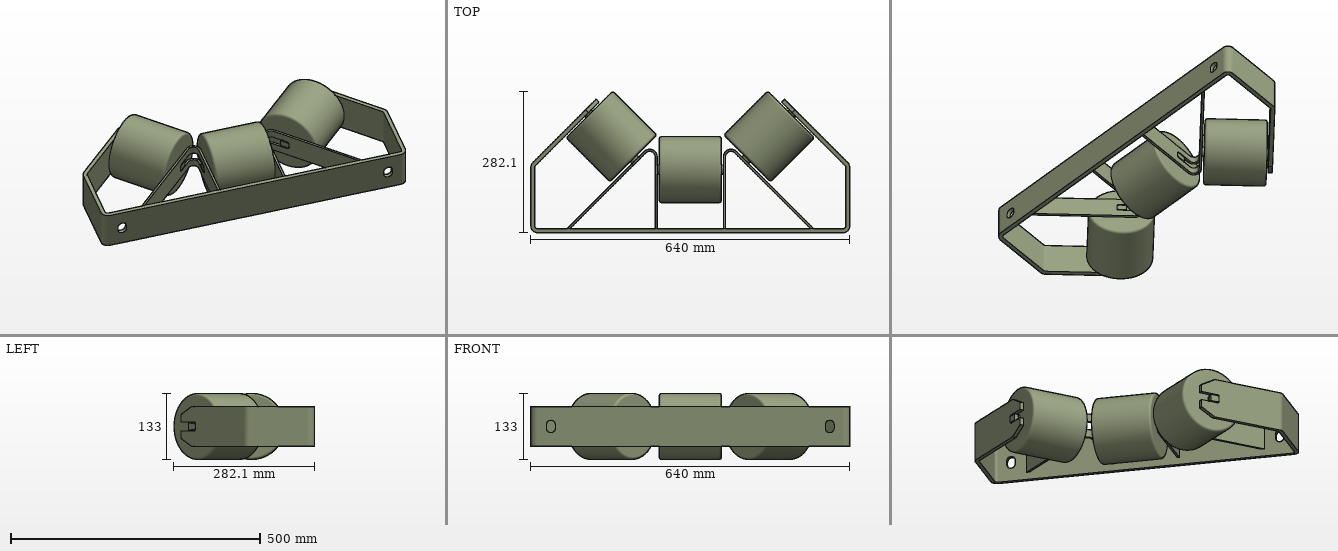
import math

import cadquery as cq

FRAME_LENGTH = 640.0
FRAME_HEIGHT = 80.0
FRAME_THICKNESS = 8.0
FRAME_BEND_RADIUS = 14.0
ARM_BEND_Y = 137.0
ARM_TIP_Y = 268.0
ARM_TIP_CHAMFER_ALONG = 30.0
ARM_TIP_CHAMFER_HEIGHT = 16.0

MOUNT_HOLE_X = 280.0
MOUNT_HOLE_WIDTH = 18.0
MOUNT_HOLE_HEIGHT = 25.0

ROLLER_DIAMETER = 133.0
ROLLER_LENGTH = 125.0
ROLLER_EDGE_RADIUS = 5.0
ROLLER_TILT = 45.0
MIDDLE_ROLLER_Y = 127.0
SIDE_ROLLER_X = 158.0
SIDE_ROLLER_Y = 193.0
AXLE_DIAMETER = 19.0
AXLE_FLAT_HEIGHT = 13.5

SLOT_WIDTH = 17.0
SLOT_CORNER_RADIUS = 4.5

BRACKET_HEIGHT = 50.0
BRACKET_THICKNESS = 4.5
BRACKET_BEND_RADIUS = 15.5
STRAIGHT_LEG_GAP = 4.0
SLANTED_LEG_GAP = 5.0

DIAGONAL = math.sqrt(0.5)
LONG = 2 * FRAME_LENGTH


def mirror_x(body):
    """Return the body's mirror image across the X = 0 plane."""
    return body.mirror("YZ")


def place_axle(body, x, y, angle):
    """Move a body modelled along the X axis to an axle centre and turn it about Z."""
    return body.rotate((0, 0, 0), (0, 0, 1), angle).translate((x, y, 0))


STRAIGHT_LEG_FACE = ROLLER_LENGTH / 2 + STRAIGHT_LEG_GAP
SLANTED_LEG_FACE = ROLLER_LENGTH / 2 + SLANTED_LEG_GAP
ARM_OUTER_LINE = FRAME_LENGTH / 2 + ARM_BEND_Y
SIDE_ROLLER_LINE = SIDE_ROLLER_X + SIDE_ROLLER_Y
ARM_OUTER_FACE = (ARM_OUTER_LINE - SIDE_ROLLER_LINE) * DIAGONAL
ARM_INNER_FACE = ARM_OUTER_FACE - FRAME_THICKNESS


def axle_end(inner_face, outer_face):
    """Round stub up to the plate, then a flat tongue through its thickness (along +X)."""
    stub = cq.Workplane("YZ").circle(AXLE_DIAMETER / 2).extrude(inner_face)
    tongue = (
        cq.Workplane("YZ")
        .workplane(offset=inner_face)
        .rect(AXLE_DIAMETER, AXLE_FLAT_HEIGHT)
        .extrude(outer_face - inner_face)
        .edges("|X and <Y")
        .fillet(SLOT_CORNER_RADIUS)
    )
    return stub.union(tongue)


def make_roller(minus_plate, plus_plate):
    """Roller along X; each plate is given by its inner and outer distance from the centre."""
    drum = (
        cq.Workplane("YZ")
        .workplane(offset=-ROLLER_LENGTH / 2)
        .circle(ROLLER_DIAMETER / 2)
        .extrude(ROLLER_LENGTH)
        .edges("%CIRCLE")
        .fillet(ROLLER_EDGE_RADIUS)
    )
    return drum.union(axle_end(*plus_plate)).union(mirror_x(axle_end(*minus_plate)))


STRAIGHT_LEG_PLATE = (STRAIGHT_LEG_FACE, STRAIGHT_LEG_FACE + BRACKET_THICKNESS)
SLANTED_LEG_PLATE = (SLANTED_LEG_FACE, SLANTED_LEG_FACE + BRACKET_THICKNESS)
ARM_PLATE = (ARM_INNER_FACE, ARM_OUTER_FACE)

middle_roller = make_roller(STRAIGHT_LEG_PLATE, STRAIGHT_LEG_PLATE).translate(
    (0, MIDDLE_ROLLER_Y, 0)
)
left_roller = place_axle(
    make_roller(ARM_PLATE, SLANTED_LEG_PLATE), -SIDE_ROLLER_X, SIDE_ROLLER_Y, -ROLLER_TILT
)
side_rollers = [left_roller, mirror_x(left_roller)]


def slot_cutter(start, length, depth):
    """Slot along +Y whose closed end sits under an axle; it spans X from start by depth."""
    closed_end = -AXLE_DIAMETER / 2
    return (
        cq.Workplane("XY")
        .box(depth, length, SLOT_WIDTH, centered=(False, False, True))
        .edges("|X and <Y")
        .fillet(SLOT_CORNER_RADIUS)
        .translate((start, closed_end, 0))
    )


def frame_half():
    """Left half of the frame: back wall, side wall and slanted arm with an axle slot."""
    side_x = -FRAME_LENGTH / 2
    tip_x = ARM_TIP_Y - ARM_OUTER_LINE
    tip_step = FRAME_THICKNESS * DIAGONAL
    inner_bend_y = ARM_BEND_Y - FRAME_THICKNESS * math.tan(math.radians(ROLLER_TILT / 2))
    wall_x = side_x + FRAME_THICKNESS
    half = (
        cq.Workplane("XY")
        .moveTo(0, 0)
        .lineTo(side_x, 0)
        .lineTo(side_x, ARM_BEND_Y)
        .lineTo(tip_x, ARM_TIP_Y)
        .lineTo(tip_x + tip_step, ARM_TIP_Y - tip_step)
        .lineTo(wall_x, inner_bend_y)
        .lineTo(wall_x, FRAME_THICKNESS)
        .lineTo(0, FRAME_THICKNESS)
        .close()
        .extrude(FRAME_HEIGHT / 2, both=True)
    )
    inner_radius = FRAME_BEND_RADIUS - FRAME_THICKNESS
    for x, y, radius in [
        (side_x, 0, FRAME_BEND_RADIUS),
        (side_x, ARM_BEND_Y, FRAME_BEND_RADIUS),
        (wall_x, FRAME_THICKNESS, inner_radius),
        (wall_x, inner_bend_y, inner_radius),
    ]:
        half = half.edges(cq.selectors.NearestToPointSelector((x, y, 0))).fillet(radius)

    tip_along = (tip_x + SIDE_ROLLER_X + ARM_TIP_Y - SIDE_ROLLER_Y) * DIAGONAL
    top = FRAME_HEIGHT / 2
    corner = (
        cq.Workplane("YZ")
        .polyline([
            (tip_along - ARM_TIP_CHAMFER_ALONG, top),
            (tip_along, top),
            (tip_along, top - ARM_TIP_CHAMFER_HEIGHT),
        ])
        .close()
        .extrude(-ARM_OUTER_FACE)
    )
    corners = corner.union(corner.mirror("XY"))
    slot = slot_cutter(-ARM_OUTER_FACE, LONG, FRAME_THICKNESS)
    cutters = place_axle(corners.union(slot), -SIDE_ROLLER_X, SIDE_ROLLER_Y, -ROLLER_TILT)
    return half.cut(cutters)


def make_frame():
    left = frame_half()
    holes = (
        cq.Workplane("XZ")
        .pushPoints([(-MOUNT_HOLE_X, 0), (MOUNT_HOLE_X, 0)])
        .slot2D(MOUNT_HOLE_HEIGHT, MOUNT_HOLE_WIDTH, 90)
        .extrude(-FRAME_THICKNESS)
    )
    return left.union(mirror_x(left)).cut(holes)


frame = make_frame()


def folded_block(inset, radius):
    """Solid block filling a folded outline, moved inwards from the roller-side faces by inset."""
    leg_x = -STRAIGHT_LEG_FACE - inset
    slant_line = SIDE_ROLLER_LINE - (SLANTED_LEG_FACE + inset) / DIAGONAL
    centre_x = leg_x - radius
    centre_y = centre_x + slant_line - radius / DIAGONAL
    tangent = radius * DIAGONAL
    mid_angle = math.radians((180 - ROLLER_TILT) / 2)
    return (
        cq.Workplane("XY")
        .moveTo(leg_x, FRAME_THICKNESS)
        .lineTo(leg_x, centre_y)
        .threePointArc(
            (
                centre_x + radius * math.cos(mid_angle),
                centre_y + radius * math.sin(mid_angle),
            ),
            (centre_x - tangent, centre_y + tangent),
        )
        .lineTo(FRAME_THICKNESS - slant_line, FRAME_THICKNESS)
        .close()
        .extrude(BRACKET_HEIGHT / 2, both=True)
    )


def make_left_bracket():
    """Straight and slanted legs joined by a round bend; one slot runs over the bend."""
    strip = folded_block(0, BRACKET_BEND_RADIUS).cut(
        folded_block(BRACKET_THICKNESS, BRACKET_BEND_RADIUS - BRACKET_THICKNESS)
    )
    slot_depth = BRACKET_THICKNESS + BRACKET_BEND_RADIUS
    straight_slot = slot_cutter(-STRAIGHT_LEG_FACE - slot_depth, LONG, slot_depth).translate(
        (0, MIDDLE_ROLLER_Y, 0)
    )
    slanted_slot = place_axle(
        slot_cutter(SLANTED_LEG_FACE, LONG, slot_depth), -SIDE_ROLLER_X, SIDE_ROLLER_Y, -ROLLER_TILT
    )
    return strip.cut(straight_slot).cut(slanted_slot)


left_bracket = make_left_bracket()
brackets = [left_bracket, mirror_x(left_bracket)]


result = cq.Compound.makeCompound([
    frame.val(),
    *[bracket.val() for bracket in brackets],
    middle_roller.val(),
    *[roller.val() for roller in side_rollers],
])